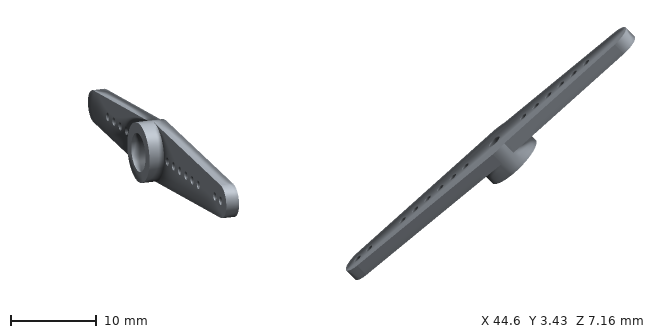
import cadquery as cq
import math


hub_diameter = 7.16
hub_length = 3.43
bore_diameter = 4.6
bore_depth = 2.4
screw_hole_diameter = 1.7

overall_length = 44.62
left_arm_reach = 20.98
right_arm_reach = overall_length - left_arm_reach
arm_thickness = 1.6
left_tip_radius = 1.94
right_tip_radius = 2.0
left_arm_root_radius = 3.32
right_arm_root_radius = hub_diameter / 2

link_hole_diameter = 1.0
link_hole_pitch = 2.0
link_holes_per_arm = 6
first_link_hole = 4.6
end_hole_positions = [(19.92, 0.1), (21.77, 0.1)]


def cylinder(diameter, front_y, back_y, x=0, z=0):
    """Round bar along Y between two Y positions."""
    return (
        cq.Workplane("XZ", origin=(x, back_y, z))
        .circle(diameter / 2)
        .extrude(back_y - front_y)
    )


def arm(direction, reach, tip_radius, root_radius):
    """Flat arm whose straight edges are tangent to the root circle and the tip arc."""
    tip_center = reach - tip_radius
    edge_angle = math.asin((root_radius - tip_radius) / tip_center)
    root_x = direction * root_radius * math.sin(edge_angle)
    root_z = root_radius * math.cos(edge_angle)
    tip_x = direction * (tip_center + tip_radius * math.sin(edge_angle))
    tip_z = tip_radius * math.cos(edge_angle)
    return (
        cq.Workplane("XZ")
        .moveTo(root_x, -root_z)
        .lineTo(tip_x, -tip_z)
        .threePointArc((direction * reach, 0), (tip_x, tip_z))
        .lineTo(root_x, root_z)
        .close()
        .extrude(arm_thickness)
    )


def link_hole_centers():
    """X, Z centers of all linkage holes in both arms."""
    centers = list(end_hole_positions)
    for index in range(link_holes_per_arm):
        distance = first_link_hole + index * link_hole_pitch
        centers.append((-distance, 0))
        centers.append((distance, 0))
    return centers


body = cylinder(hub_diameter, -hub_length, 0)
body = body.union(arm(-1, left_arm_reach, left_tip_radius, left_arm_root_radius))
body = body.union(arm(1, right_arm_reach, right_tip_radius, right_arm_root_radius))

body = body.cut(cylinder(bore_diameter, -hub_length, bore_depth - hub_length))
body = body.cut(cylinder(screw_hole_diameter, -hub_length, 0))

for hole_x, hole_z in link_hole_centers():
    body = body.cut(cylinder(link_hole_diameter, -arm_thickness, 0, hole_x, hole_z))

result = body